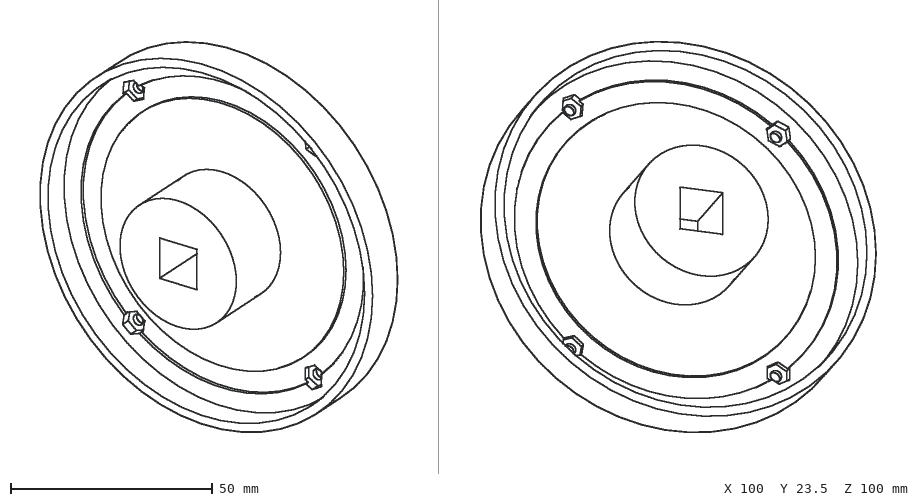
import cadquery as cq

outer_diameter = 100.0
total_depth = 23.5
rim_depth = 11.1
rim_inner_diameter = 95.2
hub_diameter = 35.0

floor_thickness = 4.0
groove_inner_diameter = 73.0
groove_outer_diameter = 85.0
groove_depth = 1.0

socket_side = 11.2
socket_depth = total_depth - floor_thickness

hole_diameter = 2.9
hole_offset_x = 27.0
hole_offset_z = 32.2
nut_width = 5.5
nut_pocket_depth = 2.5
nut_placements = [(-1, 1, -5), (1, 1, 8), (-1, -1, -10), (1, -1, 0)]


def plane_at(depth):
    """XZ sketch plane at a distance in front of the back face, facing -Y."""
    return cq.Workplane("XZ", origin=(0, -depth, 0))


def disc(diameter, start, end):
    """Cylinder along Y between two distances from the back face."""
    return plane_at(start).circle(diameter / 2).extrude(end - start)


def nut_pocket(tilt):
    """Hexagonal pocket centred on the Y axis, with a corner toward +Z before tilting."""
    hexagon = plane_at(floor_thickness - nut_pocket_depth).polygon(6, nut_width, circumscribed=True)
    pocket = hexagon.extrude(nut_pocket_depth)
    return pocket.rotate((0, 0, 0), (0, -1, 0), tilt)


body = disc(outer_diameter, 0, rim_depth).cut(disc(rim_inner_diameter, floor_thickness, rim_depth))
body = body.union(disc(hub_diameter, 0, total_depth))

groove_bottom = floor_thickness - groove_depth
groove = disc(groove_outer_diameter, groove_bottom, floor_thickness)
groove = groove.cut(disc(groove_inner_diameter, groove_bottom, floor_thickness))
body = body.cut(groove)

socket = plane_at(total_depth - socket_depth).rect(socket_side, socket_side).extrude(socket_depth)
body = body.cut(socket)

for side_x, side_z, tilt in nut_placements:
    position = (side_x * hole_offset_x, 0, side_z * hole_offset_z)
    cutter = disc(hole_diameter, 0, floor_thickness).union(nut_pocket(tilt))
    body = body.cut(cutter.translate(position))

result = body